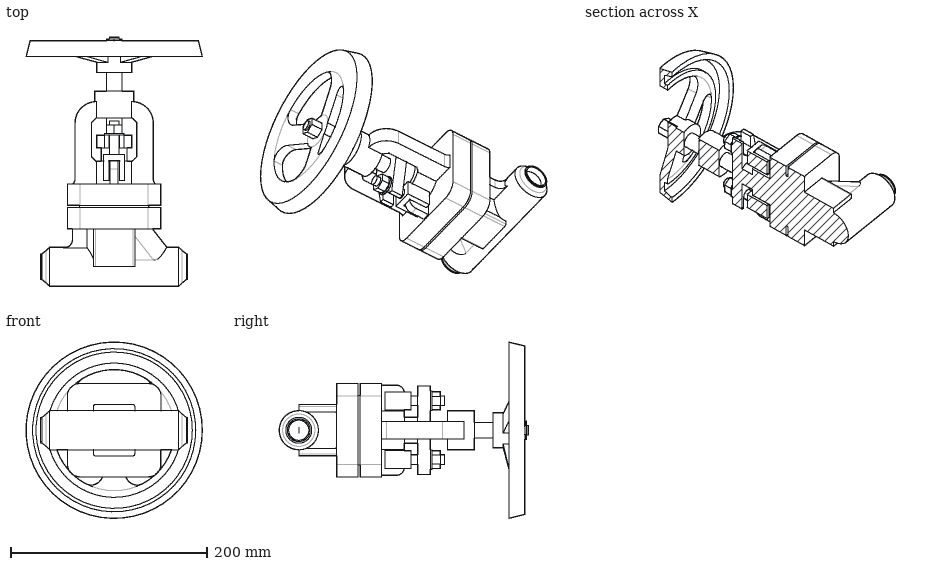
import cadquery as cq
import math


PIPE_RADIUS = 20.0
PIPE_LENGTH = 150.0
BEVEL_OUTER_LENGTH = 3.6
BEVEL_MID_RADIUS = 16.5
BEVEL_INNER_LENGTH = 4.3
LAND_RADIUS = 13.2
LAND_LENGTH = 1.3
BORE_MOUTH_RADIUS = 11.6
BORE_FLOOR_RADIUS = 10.3
BORE_DEPTH = 6.0

FLANGE_SIZE = 95.5
FLANGE_THICKNESS = 22.0
FLANGE_CORNER_RADIUS = 13.0
GASKET_RADIUS = 35.5
GASKET_THICKNESS = 2.0
BODY_FLANGE_BOTTOM = 38.5
BODY_FLANGE_TOP = BODY_FLANGE_BOTTOM + FLANGE_THICKNESS
BONNET_BOTTOM = BODY_FLANGE_TOP + GASKET_THICKNESS
BONNET_TOP = BONNET_BOTTOM + FLANGE_THICKNESS

NECK_RADIUS = 28.0
PAD_WIDTH = 42.0
PAD_DEPTH = 52.5
PAD_CORNER_RADIUS = 2.0
BODY_RIB_THICKNESS = 11.0
BODY_RIB_REACH = 42.5
BODY_RIB_FILLET = 9.0
BRANCH_RADIUS = 18.8
BRANCH_ANGLE = 52.0
BRANCH_FOOT_X = 45.4

BOSS_RADIUS = 20.0
BOSS_BOTTOM = 151.5
BOSS_TOP = 179.0
STUFFING_BOX_TOP = 107.7
YOKE_THICKNESS = 18.0
YOKE_HALF_WIDTH = 40.0
YOKE_SHOULDER_RADIUS = 22.0
YOKE_TOP = 168.5
YOKE_FOOT_RADIUS = 7.0
YOKE_FOOT_HEIGHT = 5.0
YOKE_WINDOW_WIDTH = 46.0
YOKE_WINDOW_CHAMFER = 4.5
STUFFING_RIB_THICKNESS = 8.0
STUFFING_RIB_LENGTH = 92.0
STUFFING_RIB_RADIUS = 8.0

GLAND_RADIUS = 13.3
PLATE_BOTTOM = 121.2
PLATE_THICKNESS = 13.0
PLATE_TOP = PLATE_BOTTOM + PLATE_THICKNESS
PLATE_LENGTH = 90.5
PLATE_END_WIDTH = 20.0
PLATE_MIDDLE_WIDTH = 36.0
BOLT_OFFSET = 30.0
BOLT_RADIUS = 5.0
BOLT_TOP = 148.8
BOLT_SLOT_WIDTH = 11.0
WASHER_RADIUS = 10.0
WASHER_THICKNESS = 1.8
NUT_ACROSS_FLATS = 16.0
NUT_HEIGHT = 8.4
CLEVIS_WIDTH = 21.5
CLEVIS_DEPTH = 18.4
CLEVIS_BOTTOM = 87.9
CLEVIS_TOP = 114.6
CLEVIS_SLOT_TOP = 108.4

STEM_RADIUS = 8.0
STEM_TIP_RADIUS = 5.0
STEM_TOP = 234.1
WHEEL_BOTTOM = 214.2
WHEEL_TOP = 230.5
STEM_NUT_TOP = 232.2
HUB_TOP = 219.6
RIM_BOTTOM_RADIUS = 90.0
RIM_TOP_RADIUS = 86.0
CHANNEL_MOUTH_RADIUS = 83.2
CHANNEL_OUTER_RADIUS = 79.7
CHANNEL_INNER_RADIUS = 68.5
CHANNEL_FLOOR = 224.2
RING_INNER_RADIUS = 61.7
RING_BOTTOM = 220.0
HUB_RADIUS = 18.0
HUB_BOTTOM = 198.0
SPOKE_ROOT = 208.5
SPOKE_WIDTH = 23.0
SPOKE_ANGLES = (-90.0, 30.0, 150.0)
WINDOW_CORNER_RADIUS = 12.0


def cylinder(radius, bottom, top, z=0.0):
    """Round bar along Y, standing at x = 0."""
    return cq.Workplane("XZ", origin=(0, bottom, 0)).center(0, z).circle(radius).extrude(bottom - top)


def block(width, bottom, top, depth, z=0.0):
    """Rectangular block spanning bottom to top in Y, centred on x = 0."""
    return cq.Workplane("XZ", origin=(0, bottom, 0)).center(0, z).rect(width, depth).extrude(bottom - top)


def hex_nut(bottom, top, z=0.0):
    """Hexagonal nut along Y with two corners pointing along Z."""
    corner_diameter = NUT_ACROSS_FLATS / math.cos(math.pi / 6)
    plane = cq.Workplane("XZ", origin=(0, bottom, 0)).center(0, z).transformed(rotate=(0, 0, 90))
    return plane.polygon(6, corner_diameter).extrude(bottom - top)


def make_pipe():
    end = PIPE_LENGTH / 2
    land = end - LAND_LENGTH
    bevel_mid = land - BEVEL_INNER_LENGTH
    bevel_start = bevel_mid - BEVEL_OUTER_LENGTH
    right_end = [
        (bevel_start, PIPE_RADIUS),
        (bevel_mid, BEVEL_MID_RADIUS),
        (land, LAND_RADIUS),
        (end, LAND_RADIUS),
        (end, BORE_MOUTH_RADIUS),
        (end - BORE_DEPTH, BORE_FLOOR_RADIUS),
        (end - BORE_DEPTH, 0),
    ]
    left_end = [(-x, radius) for x, radius in reversed(right_end)]
    profile = cq.Workplane("XY").polyline(left_end + right_end).close()
    return profile.revolve(360, (0, 0, 0), (1, 0, 0))


def make_branch():
    """Slanted round-backed branch that joins the pipe to the flange."""
    overlap = FLANGE_THICKNESS / 2
    top = BODY_FLANGE_BOTTOM + overlap
    run = top / math.tan(math.radians(BRANCH_ANGLE))
    web = (
        cq.Workplane("XY")
        .polyline([(0, 0), (BRANCH_FOOT_X, 0), (BRANCH_FOOT_X - run, top), (0, top)])
        .close()
        .extrude(BRANCH_RADIUS, both=True)
    )
    bar_length = 4 * top
    bar = (
        cq.Workplane("YZ")
        .circle(BRANCH_RADIUS)
        .extrude(bar_length, both=True)
        .rotate((0, 0, 0), (0, 0, 1), -BRANCH_ANGLE)
        .translate((BRANCH_FOOT_X, 0, 0))
    )
    return web.union(bar.intersect(block(bar_length, 0, top, bar_length)))


def make_body_rib():
    pipe_line = math.sqrt(PIPE_RADIUS**2 - (BODY_RIB_THICKNESS / 2) ** 2)
    fillet_top = pipe_line + BODY_RIB_FILLET
    toe = BODY_RIB_REACH + BODY_RIB_FILLET
    return (
        cq.Workplane("XY")
        .moveTo(0, 0)
        .lineTo(-toe, 0)
        .lineTo(-toe, pipe_line)
        .radiusArc((-BODY_RIB_REACH, fillet_top), -BODY_RIB_FILLET)
        .lineTo(-BODY_RIB_REACH, BODY_FLANGE_BOTTOM)
        .lineTo(0, BODY_FLANGE_BOTTOM)
        .close()
        .extrude(BODY_RIB_THICKNESS / 2, both=True)
    )


def make_body():
    pad = block(PAD_WIDTH, 0, BODY_FLANGE_BOTTOM, PAD_DEPTH).edges("|Y").fillet(PAD_CORNER_RADIUS)
    neck = cylinder(NECK_RADIUS, 0, BODY_FLANGE_BOTTOM)
    neck = neck.intersect(block(2 * NECK_RADIUS, 0, BODY_FLANGE_BOTTOM, 2 * PIPE_RADIUS))
    return make_pipe().union(pad).union(neck).union(make_body_rib()).union(make_branch())


def make_flange(bottom, top):
    return block(FLANGE_SIZE, bottom, top, FLANGE_SIZE).edges("|Y").fillet(FLANGE_CORNER_RADIUS)


def make_yoke():
    foot_spread = YOKE_FOOT_RADIUS - math.sqrt(YOKE_FOOT_RADIUS**2 - YOKE_FOOT_HEIGHT**2)
    toe = YOKE_HALF_WIDTH + foot_spread
    foot_top = BONNET_TOP + YOKE_FOOT_HEIGHT
    shoulder = YOKE_HALF_WIDTH - YOKE_SHOULDER_RADIUS
    arms = (
        cq.Workplane("XY")
        .moveTo(-toe, BONNET_TOP)
        .radiusArc((-YOKE_HALF_WIDTH, foot_top), -YOKE_FOOT_RADIUS)
        .lineTo(-YOKE_HALF_WIDTH, YOKE_TOP - YOKE_SHOULDER_RADIUS)
        .radiusArc((-shoulder, YOKE_TOP), YOKE_SHOULDER_RADIUS)
        .lineTo(shoulder, YOKE_TOP)
        .radiusArc((YOKE_HALF_WIDTH, YOKE_TOP - YOKE_SHOULDER_RADIUS), YOKE_SHOULDER_RADIUS)
        .lineTo(YOKE_HALF_WIDTH, foot_top)
        .radiusArc((toe, BONNET_TOP), -YOKE_FOOT_RADIUS)
        .close()
        .extrude(YOKE_THICKNESS / 2, both=True)
    )
    window = block(YOKE_WINDOW_WIDTH, STUFFING_BOX_TOP, BOSS_BOTTOM, YOKE_THICKNESS)
    window = window.edges("|Z").chamfer(YOKE_WINDOW_CHAMFER)
    rib = block(STUFFING_RIB_THICKNESS, BONNET_TOP, STUFFING_BOX_TOP, STUFFING_RIB_LENGTH)
    rib = rib.faces(">Y").edges("|X").fillet(STUFFING_RIB_RADIUS)
    boss = cylinder(BOSS_RADIUS, BOSS_BOTTOM, BOSS_TOP)
    stuffing_box = cylinder(BOSS_RADIUS, BONNET_TOP, STUFFING_BOX_TOP)
    return arms.cut(window).union(boss).union(stuffing_box).union(rib)


def make_gland_plate():
    end = PLATE_LENGTH / 2
    half_end = PLATE_END_WIDTH / 2
    half_middle = PLATE_MIDDLE_WIDTH / 2
    plate = (
        cq.Workplane("XZ", origin=(0, PLATE_BOTTOM, 0))
        .polyline([
            (-half_end, -end),
            (half_end, -end),
            (half_middle, 0),
            (half_end, end),
            (-half_end, end),
            (-half_middle, 0),
        ])
        .close()
        .extrude(-PLATE_THICKNESS)
    )
    for side in (-1, 1):
        slot_length = end - BOLT_OFFSET
        slot_middle = side * (BOLT_OFFSET + end) / 2
        plate = plate.cut(block(BOLT_SLOT_WIDTH, PLATE_BOTTOM, PLATE_TOP, slot_length, slot_middle))
        plate = plate.cut(cylinder(BOLT_SLOT_WIDTH / 2, PLATE_BOTTOM, PLATE_TOP, side * BOLT_OFFSET))
    return plate


def make_gland_bolt(z):
    """Bolt with a clevis straddling the stuffing box rib, a washer and a nut."""
    clevis = block(CLEVIS_WIDTH, CLEVIS_BOTTOM, CLEVIS_TOP, CLEVIS_DEPTH, z)
    clevis = clevis.cut(block(BOLT_SLOT_WIDTH, CLEVIS_BOTTOM, CLEVIS_SLOT_TOP, CLEVIS_DEPTH, z))
    washer_top = PLATE_TOP + WASHER_THICKNESS
    bolt = cylinder(BOLT_RADIUS, CLEVIS_SLOT_TOP, BOLT_TOP, z)
    washer = cylinder(WASHER_RADIUS, PLATE_TOP, washer_top, z)
    return clevis.union(bolt).union(washer).union(hex_nut(washer_top, washer_top + NUT_HEIGHT, z))


def make_wheel_windows():
    windows = cylinder(RING_INNER_RADIUS, HUB_BOTTOM, WHEEL_TOP)
    for angle in SPOKE_ANGLES:
        spoke = (
            cq.Workplane("XY")
            .box(RING_INNER_RADIUS, WHEEL_TOP - HUB_BOTTOM, SPOKE_WIDTH)
            .translate((RING_INNER_RADIUS / 2, (WHEEL_TOP + HUB_BOTTOM) / 2, 0))
            .rotate((0, 0, 0), (0, 1, 0), -angle)
        )
        windows = windows.cut(spoke)
    corners = windows.edges("|Y").filter(
        lambda edge: math.hypot(edge.Center().x, edge.Center().z) > (HUB_RADIUS + RING_INNER_RADIUS) / 2
    )
    return corners.fillet(WINDOW_CORNER_RADIUS)


def make_handwheel():
    wheel = (
        cq.Workplane("XY")
        .polyline([
            (0, SPOKE_ROOT),
            (HUB_RADIUS, SPOKE_ROOT),
            (RING_INNER_RADIUS, RING_BOTTOM),
            (CHANNEL_INNER_RADIUS, RING_BOTTOM),
            (CHANNEL_INNER_RADIUS, CHANNEL_FLOOR),
            (CHANNEL_OUTER_RADIUS, CHANNEL_FLOOR),
            (CHANNEL_MOUTH_RADIUS, WHEEL_BOTTOM),
            (RIM_BOTTOM_RADIUS, WHEEL_BOTTOM),
            (RIM_TOP_RADIUS, WHEEL_TOP),
            (RING_INNER_RADIUS, WHEEL_TOP),
            (HUB_RADIUS, HUB_TOP),
            (0, HUB_TOP),
        ])
        .close()
        .revolve(360, (0, 0, 0), (0, 1, 0))
    )
    return wheel.cut(make_wheel_windows()).union(cylinder(HUB_RADIUS, HUB_BOTTOM, HUB_TOP))


def make_stem():
    stem = cylinder(STEM_RADIUS, STUFFING_BOX_TOP, HUB_TOP)
    tip = cylinder(STEM_TIP_RADIUS, HUB_TOP, STEM_TOP)
    return stem.union(tip).union(hex_nut(HUB_TOP, STEM_NUT_TOP))


result = make_body()
result = result.union(make_flange(BODY_FLANGE_BOTTOM, BODY_FLANGE_TOP))
result = result.union(cylinder(GASKET_RADIUS, BODY_FLANGE_TOP, BONNET_BOTTOM))
result = result.union(make_flange(BONNET_BOTTOM, BONNET_TOP))
result = result.union(make_yoke())
result = result.union(make_stem())
result = result.union(cylinder(GLAND_RADIUS, STUFFING_BOX_TOP, PLATE_BOTTOM))
result = result.union(make_gland_plate())
for bolt_z in (-BOLT_OFFSET, BOLT_OFFSET):
    result = result.union(make_gland_bolt(bolt_z))
result = result.union(make_handwheel())